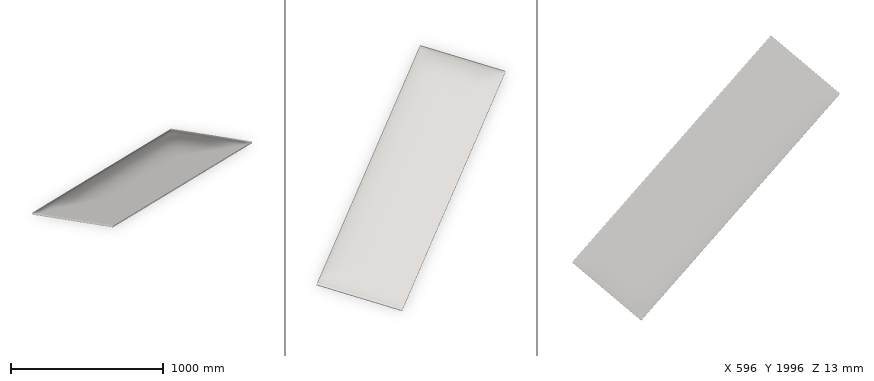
import cadquery as cq

width = 596.0
length = 1996.0
height = 13.0

thickness = 2.0
corner_radius = 3.0
bottom_radius = 3.0
inner_bottom_radius = bottom_radius - thickness

lip_depth = 12.5

rim_radius = thickness / 2
top_z = height / 2
bottom_z = -height / 2
rim_z = top_z - rim_radius


def rounded_block(size_x, size_y, size_z, base_z, vertical_radius, base_radius):
    """Block with rounded vertical edges and a rounded bottom edge."""
    block = cq.Workplane("XY", origin=(0, 0, base_z)).rect(size_x, size_y).extrude(size_z)
    block = block.edges("|Z").fillet(vertical_radius)
    return block.faces("<Z").edges().fillet(base_radius)


def tray_body():
    """Floor and four walls, up to the centre of the rim round."""
    outside = rounded_block(width, length, rim_z - bottom_z, bottom_z, corner_radius, bottom_radius)
    inside = rounded_block(
        width - 2 * thickness,
        length - 2 * thickness,
        height,
        bottom_z + thickness,
        corner_radius - thickness,
        inner_bottom_radius,
    )
    return outside.cut(inside)


def rim_centre_block(block_height):
    """Block whose outline is the centreline of the wall, standing on the rim centre plane."""
    block = cq.Workplane("XY", origin=(0, 0, rim_z))
    block = block.rect(width - thickness, length - thickness).extrude(block_height)
    return block.edges("|Z").fillet(corner_radius - rim_radius)


def rounded_rim():
    """Round bead swept along the centreline of the wall."""
    centreline = cq.Workplane("XY").add(rim_centre_block(height).faces("<Z").wires().val())
    section_origin = (width / 2 - rim_radius, 0, rim_z)
    return cq.Workplane("XZ", origin=section_origin).circle(rim_radius).sweep(centreline)


def end_lip():
    """Flat lip on the +Y end, running inward from the centreline of the wall."""
    lip_zone = cq.Workplane("XY").box(width, lip_depth, thickness)
    lip_zone = lip_zone.translate((0, (length - lip_depth) / 2, rim_z))
    plate = rim_centre_block(thickness).translate((0, 0, -rim_radius))
    return plate.intersect(lip_zone)


tray = tray_body().union(rounded_rim()).union(end_lip())
result = cq.Workplane(tray.solids().val())